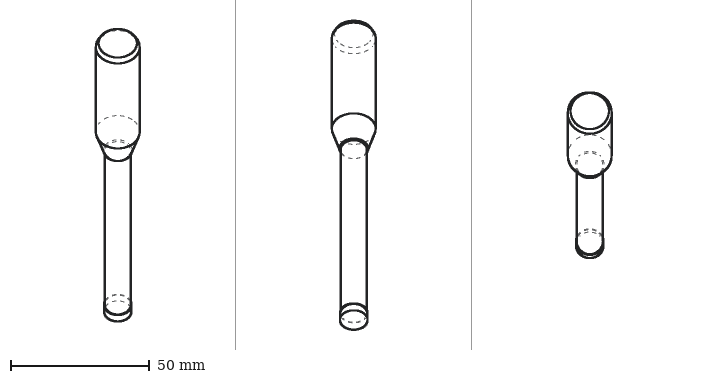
import cadquery as cq

total_length = 146.8

head_radius = 5.0
point_height = 1.9
head_top = 5.5

neck_radius = 4.7
neck_top = 88.4

shoulder_lower_radius = 5.1
shoulder_upper_radius = 7.8
shoulder_bevel_height = 0.5
shoulder_top = 98.8

shank_radius = 8.0
chamfer_width = 1.0
chamfer_height = 2.0


def revolve_profile(points):
    """Revolve a closed (radius, height) outline about the Z axis."""
    return cq.Workplane("XZ").polyline(points).close().revolve(360, (0, 0, 0), (0, 1, 0))


def make_cutting_head():
    """Cylinder with its conical point downward and a flat upper face."""
    return revolve_profile([
        (0, 0),
        (head_radius, point_height),
        (head_radius, head_top),
        (0, head_top),
    ])


def make_holder():
    """Neck, tapered shoulder and shank standing on the flat face of the head."""
    return revolve_profile([
        (0, head_top),
        (neck_radius, head_top),
        (neck_radius, neck_top),
        (shoulder_lower_radius, neck_top + shoulder_bevel_height),
        (shoulder_upper_radius, shoulder_top - shoulder_bevel_height),
        (shank_radius, shoulder_top),
        (shank_radius, total_length - chamfer_height),
        (shank_radius - chamfer_width, total_length),
        (0, total_length),
    ])


cutting_head = make_cutting_head()
holder = make_holder()

result = cq.Compound.makeCompound([cutting_head.val(), holder.val()])